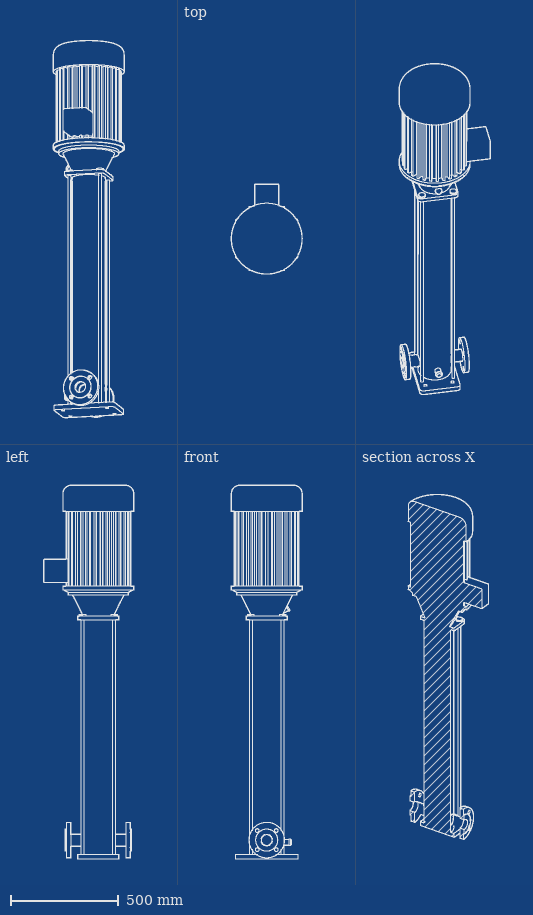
import cadquery as cq
import math

total_height = 1740.0

base_length = 292.0
base_width = 191.0
base_thickness = 23.0
plate_corner_radius = 17.0
base_hole_diameter = 14.0
base_hole_x = 106.0
base_hole_y = 65.0

sleeve_diameter = 155.0
rod_diameter = 14.0
rod_spacing = 148.0
head_plate_bottom = 1114.0
head_plate_top = 1131.0
head_plate_width = 191.0
nut_diameter = 31.0
nut_height = 7.0

port_height = 89.0
port_span = 308.0
pipe_diameter = 57.0
bore_diameter = 50.0
flange_diameter = 165.0
flange_thickness = 21.0
raised_face_diameter = 103.0
raised_face_height = 5.0
bolt_circle_diameter = 125.0
bolt_hole_diameter = 17.0
bolt_count = 4
first_bolt_angle = 45

drain_height = 78.0
drain_diameter = 28.0
drain_reach = 105.0
drain_head_diameter = 31.0
drain_head_length = 10.0
drain_head_chamfer = 5.0

motor_diameter = 330.0
motor_flange_top = 1270.0
motor_flange_bottom = 1251.0
spigot_diameter = 280.0
spigot_top = 1240.0
spigot_bottom = 1228.0
spigot_shoulder_diameter = 320.0
cone_top_diameter = 240.0
cone_bottom_diameter = 143.0

vent_diameter = 25.0
vent_head_diameter = 31.0
vent_root_x = 70.0
vent_root_z = 1152.0
vent_tilt = 30
vent_shank_length = 30.0
vent_head_length = 7.0

fin_count = 30
fin_tip_diameter = 303.0
fin_root_diameter = 261.0
fin_thickness = 10.0
cover_bottom = 1618.0
cover_rounding = 40.0

box_width = 113.0
box_reach = 254.0
box_bottom = 1285.0
box_top = 1395.0
box_rounding = 5.0


def disc(diameter, bottom, top):
    """Upright cylinder on the pump axis."""
    return cq.Workplane("XY").workplane(offset=bottom).circle(diameter / 2).extrude(top - bottom)


def plate(length, width, bottom, top):
    """Flat plate with rounded corners, centred on the pump axis."""
    slab = cq.Workplane("XY").workplane(offset=bottom).rect(length, width).extrude(top - bottom)
    return slab.edges("|Z").fillet(plate_corner_radius)


def make_base():
    """Base plate with four foundation bolt holes."""
    base = plate(base_length, base_width, 0, base_thickness)
    holes = (
        cq.Workplane("XY")
        .rect(2 * base_hole_x, 2 * base_hole_y, forConstruction=True)
        .vertices()
        .circle(base_hole_diameter / 2)
        .extrude(base_thickness)
    )
    return base.cut(holes)


def rod_pattern(diameter, bottom, top):
    """One upright cylinder at each of the four tie rod positions."""
    return (
        cq.Workplane("XY")
        .workplane(offset=bottom)
        .rect(rod_spacing, rod_spacing, forConstruction=True)
        .vertices()
        .circle(diameter / 2)
        .extrude(top - bottom)
    )


def port_cylinder(diameter, start, end, side):
    """Cylinder on the port axis between two distances from the pump axis."""
    plane = cq.Plane(origin=(0, side * start, port_height), xDir=(1, 0, 0), normal=(0, side, 0))
    return cq.Workplane(plane).circle(diameter / 2).extrude(end - start)


def make_port(side):
    """Pipe stub with a drilled, raised-face flange; side is -1 or 1 along Y."""
    face = port_span / 2
    flange_outer = face - raised_face_height
    flange_inner = flange_outer - flange_thickness
    flange = (
        port_cylinder(flange_diameter, flange_inner, flange_outer, side)
        .faces(">Y" if side > 0 else "<Y")
        .workplane(centerOption="CenterOfMass")
        .polarArray(bolt_circle_diameter / 2, first_bolt_angle, 360, bolt_count)
        .hole(bolt_hole_diameter)
    )
    pipe = port_cylinder(pipe_diameter, 0, flange_outer, side)
    raised_face = port_cylinder(raised_face_diameter, flange_outer, face, side)
    bore = port_cylinder(bore_diameter, 0, face, side)
    return pipe.union(flange).union(raised_face).cut(bore)


def make_drain_plug():
    """Headed plug on the +X side of the sleeve."""
    shank = (
        cq.Workplane("YZ", origin=(0, 0, drain_height))
        .circle(drain_diameter / 2)
        .extrude(drain_reach)
    )
    head = (
        cq.Workplane("YZ", origin=(drain_reach, 0, drain_height))
        .circle(drain_head_diameter / 2)
        .extrude(drain_head_length)
        .faces(">X")
        .chamfer(drain_head_chamfer)
    )
    return shank.union(head)


def make_stool():
    """Solid of revolution from the head plate up to the motor flange."""
    return (
        cq.Workplane("XZ")
        .moveTo(0, head_plate_top)
        .lineTo(cone_bottom_diameter / 2, head_plate_top)
        .lineTo(cone_top_diameter / 2, spigot_bottom)
        .lineTo(spigot_diameter / 2, spigot_bottom)
        .lineTo(spigot_diameter / 2, spigot_top)
        .lineTo(spigot_shoulder_diameter / 2, motor_flange_bottom)
        .lineTo(motor_diameter / 2, motor_flange_bottom)
        .lineTo(motor_diameter / 2, motor_flange_top)
        .lineTo(0, motor_flange_top)
        .close()
        .revolve(360, (0, 0), (0, 1))
    )


def make_vent_plug():
    """Headed plug that rises from inside the stool wall on the +X side."""
    tilt = math.radians(vent_tilt)
    root_plane = cq.Plane(
        origin=(vent_root_x, 0, vent_root_z),
        xDir=(0, 1, 0),
        normal=(math.cos(tilt), 0, math.sin(tilt)),
    )
    shank = cq.Workplane(root_plane).circle(vent_diameter / 2).extrude(vent_shank_length)
    head = (
        cq.Workplane(root_plane)
        .workplane(offset=vent_shank_length)
        .circle(vent_head_diameter / 2)
        .extrude(vent_head_length)
    )
    return shank.union(head)


def make_finned_body():
    """Motor body with radial fins; each full-width blade makes two opposite fins."""
    body = disc(fin_root_diameter, motor_flange_top, cover_bottom)
    fin = (
        cq.Workplane("XY", origin=(0, 0, motor_flange_top))
        .rect(fin_tip_diameter, fin_thickness)
        .extrude(cover_bottom - motor_flange_top)
    )
    pitch = 360 / fin_count
    for index in range(fin_count // 2):
        body = body.union(fin.rotate((0, 0, 0), (0, 0, 1), (index + 0.5) * pitch))
    return body


def make_terminal_box():
    """Rounded box on the +Y side, running back to the motor axis."""
    box = (
        cq.Workplane("XY", origin=(0, 0, box_bottom))
        .rect(box_width, 2 * box_reach)
        .extrude(box_top - box_bottom)
    )
    box = box.edges().fillet(box_rounding)
    back_half = cq.Workplane("XY").box(box_width, box_reach, total_height, centered=(True, False, False))
    return box.intersect(back_half)


def make_cover():
    """Fan cover with a rounded top edge."""
    return disc(motor_diameter, cover_bottom, total_height).faces(">Z").edges().fillet(cover_rounding)


parts = [
    make_port(-1),
    make_port(1),
    disc(sleeve_diameter, 0, head_plate_bottom),
    rod_pattern(rod_diameter, 0, head_plate_bottom),
    make_drain_plug(),
    plate(head_plate_width, head_plate_width, head_plate_bottom, head_plate_top),
    rod_pattern(nut_diameter, head_plate_top, head_plate_top + nut_height),
    make_stool(),
    make_vent_plug(),
    make_finned_body(),
    make_terminal_box(),
    make_cover(),
]

result = make_base()
for part in parts:
    result = result.union(part)